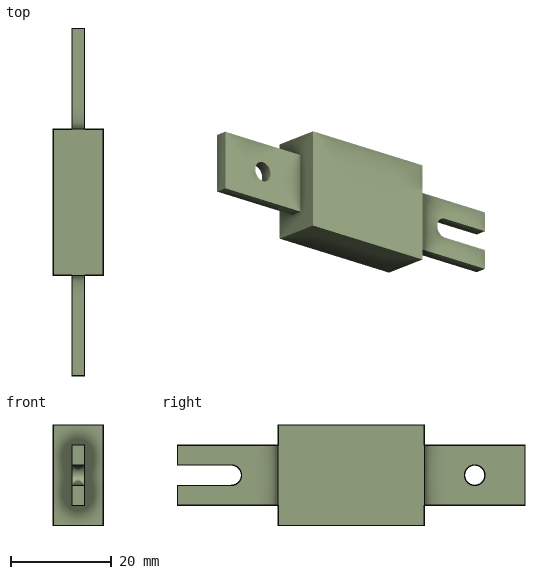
import cadquery as cq

body_width = 10.0
body_length = 29.1
body_height = 20.0

blade_thickness = 2.5
blade_height = 12.0
blade_reach = 20.0

opening_width = 4.0
hole_inset = 10.0
slot_depth = 12.7

overall_length = body_length + 2 * blade_reach
tip_y = overall_length / 2


def make_blades():
    """One continuous bar that passes through the body and forms both blades."""
    return cq.Workplane("XY").box(blade_thickness, overall_length, blade_height)


def make_hole():
    """Round fixing hole through the +Y blade."""
    return (
        cq.Workplane("YZ")
        .center(tip_y - hole_inset, 0)
        .circle(opening_width / 2)
        .extrude(blade_thickness, both=True)
    )


def make_slot():
    """Slot with a half-round bottom, open at the tip of the -Y blade."""
    radius = opening_width / 2
    bottom_y = -tip_y + slot_depth
    arc_start_y = bottom_y - radius
    return (
        cq.Workplane("YZ")
        .moveTo(-tip_y, -radius)
        .lineTo(arc_start_y, -radius)
        .threePointArc((bottom_y, 0), (arc_start_y, radius))
        .lineTo(-tip_y, radius)
        .close()
        .extrude(blade_thickness, both=True)
    )


body = cq.Workplane("XY").box(body_width, body_length, body_height)
blades = make_blades().cut(make_hole()).cut(make_slot())
result = body.union(blades)